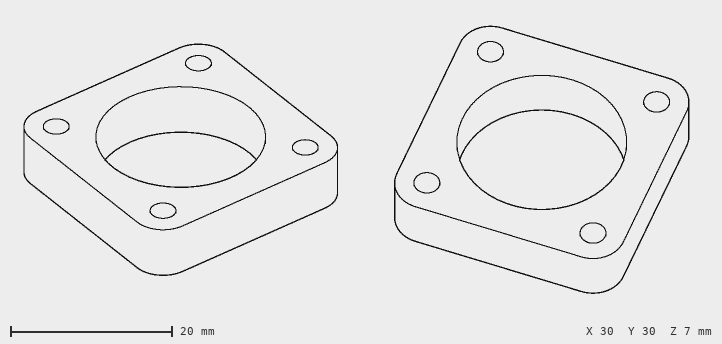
import cadquery as cq

side = 30.0
thickness = 7.0
corner_radius = 4.0

bore_diameter = 21.0
mounting_hole_diameter = 3.2
mounting_hole_spacing = side - 2 * corner_radius


def make_plate():
    """Square plate with rounded vertical edges, resting on Z = 0."""
    plate = cq.Workplane("XY").box(side, side, thickness, centered=(True, True, False))
    return plate.edges("|Z").fillet(corner_radius)


def cut_bore(body):
    """Central through bore."""
    return body.faces(">Z").workplane().hole(bore_diameter)


def cut_mounting_holes(body):
    """Through hole at each corner of a square pattern."""
    return (
        body.faces(">Z")
        .workplane(centerOption="CenterOfBoundBox")
        .rarray(mounting_hole_spacing, mounting_hole_spacing, 2, 2)
        .hole(mounting_hole_diameter)
    )


result = cut_mounting_holes(cut_bore(make_plate()))